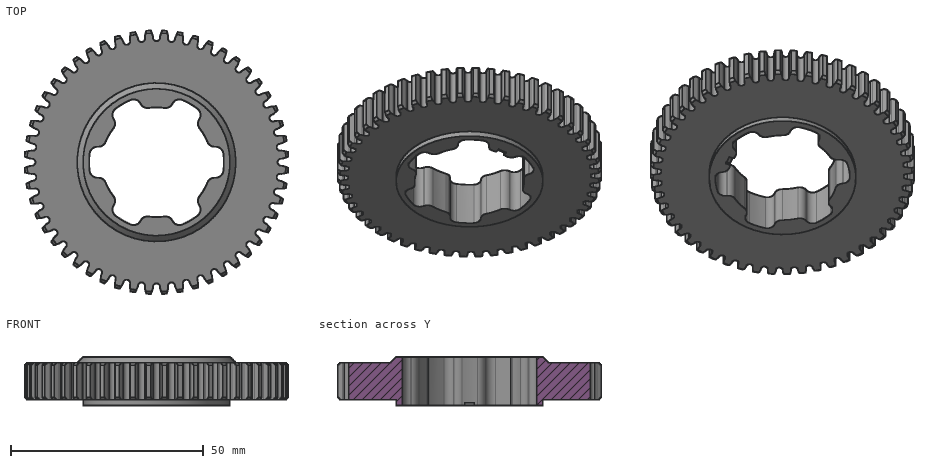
import cadquery as cq
import math

total_height = 12.7
hub_step = 1.524
gear_width = total_height - 2 * hub_step
gear_top = gear_width / 2
part_top = total_height / 2

hub_radius = 38.1 / 2

tooth_count = 52
module = 1.27
pitch_radius = tooth_count * module / 2
tip_radius = 34.24
root_radius = pitch_radius - 1.25 * module
pressure_angle = math.radians(14.5)
base_radius = pitch_radius * math.cos(pressure_angle)
flank_start_radius = 32.45
gap_overrun = 0.3
flank_end_radius = tip_radius + gap_overrun
tip_chamfer = 0.7
pitch_angle = 360 / tooth_count

slot_count = 6
land_radius = 14.2
slot_end_radius = 17.46
slot_width = 8.0
slot_end_fillet = 2.0
land_corner_fillet = 2.0
radius_tolerance = 0.01

notch_width = 2.4
notch_height = 0.8
notch_depth = 1.2


def involute(angle):
    return math.tan(angle) - angle


def gap_flank_point(radius, side):
    """Point on the wall, lying on the involute, of the tooth gap centred on +X; side is +1 or -1."""
    roll = involute(math.acos(base_radius / radius)) - involute(pressure_angle)
    half_gap = math.pi / (2 * tooth_count) + roll
    return radius * math.cos(half_gap), side * radius * math.sin(half_gap)


def make_blank():
    """Gear disc with chamfered rims."""
    disc = cq.Workplane("XY").workplane(offset=-gear_top).circle(tip_radius).extrude(gear_width)
    return disc.edges().chamfer(tip_chamfer)


def make_tooth_gap():
    """Gap between two teeth: flat walls meeting at the pitch circle, joined by a round root."""
    radii = [flank_start_radius, pitch_radius, flank_end_radius]
    upper = [gap_flank_point(radius, 1) for radius in radii]
    lower = [gap_flank_point(radius, -1) for radius in reversed(radii)]
    return (
        cq.Workplane("XY").workplane(offset=-gear_top)
        .polyline(lower)
        .threePointArc((root_radius, 0), upper[0])
        .lineTo(*upper[1])
        .lineTo(*upper[2])
        .close()
        .extrude(gear_width)
    )


def cut_teeth(blank):
    gap = make_tooth_gap().val()
    gaps = [gap.rotate((0, 0, 0), (0, 0, 1), i * pitch_angle) for i in range(tooth_count)]
    return cq.Workplane(blank.val().cut(*gaps))


def make_hub():
    """Hub through the gear: straight below, widening at 45 degrees down to the upper gear face."""
    hub = cq.Workplane("XY").workplane(offset=-part_top).circle(hub_radius).extrude(total_height)
    collar = (
        cq.Workplane("XY").workplane(offset=gear_top)
        .circle(hub_radius + hub_step)
        .workplane(offset=hub_step)
        .circle(hub_radius)
        .loft(ruled=True)
    )
    return hub.union(collar)


def make_bore():
    """Round bore with radial slots, rounded at the slot ends and at the land corners."""
    base = cq.Workplane("XY").workplane(offset=-part_top)
    bore = base.circle(land_radius).extrude(total_height)
    slot = (
        base.center(slot_end_radius / 2, 0)
        .rect(slot_end_radius, slot_width)
        .extrude(total_height)
        .intersect(base.circle(slot_end_radius).extrude(total_height))
        .edges("|Z and (not <X)")
        .fillet(slot_end_fillet)
    )
    for i in range(slot_count):
        bore = bore.union(slot.rotate((0, 0, 0), (0, 0, 1), i * 360 / slot_count))
    corners = bore.edges("|Z").filter(
        lambda edge: abs(math.hypot(edge.Center().x, edge.Center().y) - land_radius) < radius_tolerance
    )
    return corners.fillet(land_corner_fillet)


def make_notch():
    """Small rectangular notch, open to the bore and to the lower face of the hub."""
    reach = land_radius + notch_depth
    return (
        cq.Workplane("XY").workplane(offset=-part_top)
        .center(0, reach / 2)
        .rect(notch_width, reach)
        .extrude(notch_height)
    )


gear = cut_teeth(make_blank()).union(make_hub())
result = gear.cut(make_bore()).cut(make_notch())